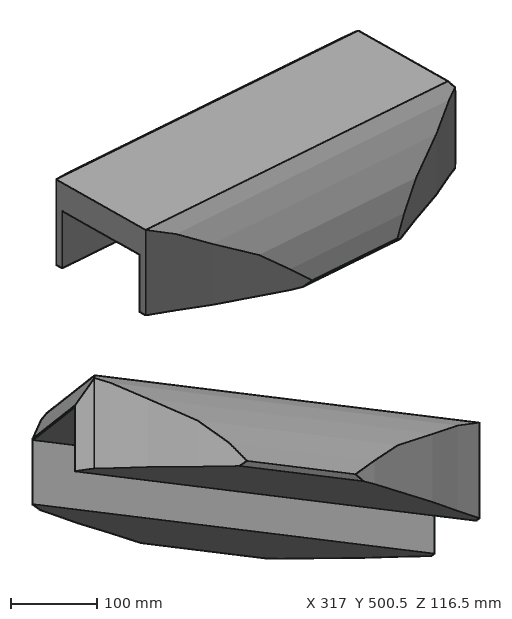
import cadquery as cq

width = 317.0
length = 500.5
height = 116.5
half_width = width / 2
front_y = -length / 2
rear_y = length / 2

top_half_width = 76.0
upper_half_width = 92.0
shoulder_half_width = 112.0
flank_half_width = 134.5
lower_half_width = 149.5
base_half_width = 154.5

upper_height = 104.0
shoulder_height = 83.0
flank_height = 56.0
lower_height = 28.5
base_bevel_height = 6.0

front_upper_setback = 33.5
front_shoulder_setback = 72.5
front_lower_setback = 160.0
front_side_setback = 187.0

rear_corner_setback = 17.0
rear_upper_setback = 34.0
rear_shoulder_setback = 73.0
rear_flank_setback = 126.0
rear_lower_setback = 159.0
rear_side_setback = 178.0

rear_half_width = 67.0
rear_corner_half_width = 84.0
rear_slope_setback = 21.0
rear_face_height = 80.0

channel_width = 131.0
channel_height = 78.0

section_half = [
    (base_half_width, 0),
    (half_width, base_bevel_height),
    (lower_half_width, lower_height),
    (flank_half_width, flank_height),
    (shoulder_half_width, shoulder_height),
    (upper_half_width, upper_height),
    (top_half_width, height),
]

plan_half = [
    (top_half_width, front_y),
    (upper_half_width, front_y + front_upper_setback),
    (shoulder_half_width, front_y + front_shoulder_setback),
    (lower_half_width, front_y + front_lower_setback),
    (half_width, front_y + front_side_setback),
    (half_width, rear_y - rear_side_setback),
    (lower_half_width, rear_y - rear_lower_setback),
    (flank_half_width, rear_y - rear_flank_setback),
    (shoulder_half_width, rear_y - rear_shoulder_setback),
    (upper_half_width, rear_y - rear_upper_setback),
    (rear_corner_half_width, rear_y - rear_corner_setback),
    (rear_half_width, rear_y),
]


def mirrored(half_outline):
    """Join a right-hand outline to its mirror image about X = 0."""
    return half_outline + [(-x, other) for x, other in reversed(half_outline)]


def faceted_body():
    """Intersect the lengthwise section with the upright plan shape."""
    section = cq.Workplane("XZ").polyline(mirrored(section_half)).close().extrude(length / 2, both=True)
    plan = cq.Workplane("XY").polyline(mirrored(plan_half)).close().extrude(height)
    return section.intersect(plan)


def channel():
    """Rectangular passage, open at the base and at both ends."""
    return cq.Workplane("XY").box(channel_width, length, channel_height, centered=(True, True, False))


def rear_slope():
    """Wedge above the sloped face at the top of the rear end."""
    wedge = [
        (rear_y - rear_slope_setback, height),
        (rear_y, height),
        (rear_y, rear_face_height),
    ]
    return cq.Workplane("YZ").polyline(wedge).close().extrude(half_width, both=True)


result = faceted_body().cut(channel()).cut(rear_slope())